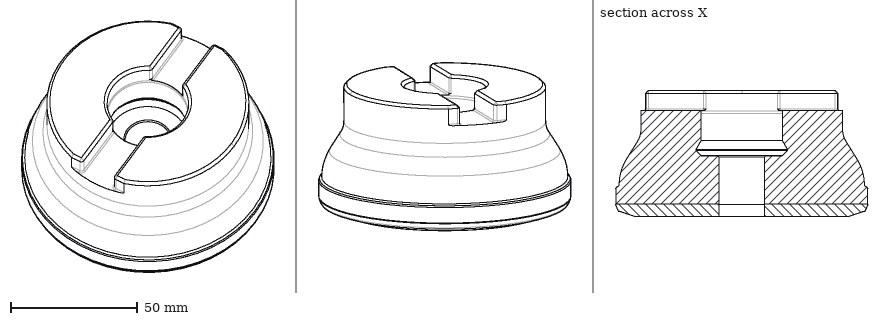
import cadquery as cq
import math

TOTAL_HEIGHT = 50.0
RIM_RADIUS = 99.99 / 2
SPLIT_HEIGHT = 4.8

SHOULDER_RADIUS = 97.5 / 2
NECK_RADIUS = 80.0 / 2
SHOULDER_HEIGHT = 12.3
FLANK_ANGLE = math.radians(32)
SHOULDER_ARC_RADIUS = 20.0
NECK_ARC_RADIUS = 10.0

LEDGE_BEVEL_HEIGHT = 0.6
STEEP_BEVEL_WIDTH = 0.35

BORE_RADIUS = 32.01 / 2
MOUTH_RADIUS = 32.2 / 2
MOUTH_DEPTH = 8.3
MOUTH_TAPER_HEIGHT = 1.0
GROOVE_RADIUS = 18.0
GROOVE_TOP = 30.1
GROOVE_UPPER_ANGLE = math.radians(30)
GROOVE_WALL_HEIGHT = 0.5

HOLE_RADIUS = 18.0 / 2
HOLE_CHAMFER = 0.5

SLOT_HALF_WIDTH = 7.15
SLOT_DEPTH = 8.0
SLOT_END_Y = 38.1
SLOT_CORNER_RADIUS = 1.2
SLOT_FOOT_FILLET = 0.6
TOP_CHAMFER = 1.19
END_CLEARANCE = 5.0

DISC_LAND_HEIGHT = 0.3
DISC_CORNER_TOP = (49.3, 2.7)
DISC_CORNER_FOOT = (48.9, 2.1)
DISC_FACE_RADIUS = 42.6

SLOT_FLOOR = TOTAL_HEIGHT - SLOT_DEPTH


def revolve(outline):
    """Turn a closed radius-height outline about the Z axis."""
    return outline.close().revolve(360, (0, 0, 0), (0, 1, 0))


def arc_point(centre, radius, angle):
    return (centre[0] + radius * math.cos(angle), centre[1] + radius * math.sin(angle))


def turned_body():
    """Body of revolution, before the slot is cut."""
    shoulder_centre = (SHOULDER_RADIUS - SHOULDER_ARC_RADIUS, SHOULDER_HEIGHT)
    shoulder_middle = arc_point(shoulder_centre, SHOULDER_ARC_RADIUS, FLANK_ANGLE / 2)
    flank_foot = arc_point(shoulder_centre, SHOULDER_ARC_RADIUS, FLANK_ANGLE)
    flank_top_radius = NECK_RADIUS + NECK_ARC_RADIUS * (1 - math.cos(FLANK_ANGLE))
    flank_height = (flank_foot[0] - flank_top_radius) / math.tan(FLANK_ANGLE)
    flank_top_height = flank_foot[1] + flank_height
    neck_foot = flank_top_height + NECK_ARC_RADIUS * math.sin(FLANK_ANGLE)
    neck_centre = (NECK_RADIUS + NECK_ARC_RADIUS, neck_foot)
    neck_middle = arc_point(neck_centre, NECK_ARC_RADIUS, math.pi + FLANK_ANGLE / 2)

    mouth_bottom = TOTAL_HEIGHT - MOUTH_DEPTH
    groove_depth = GROOVE_RADIUS - BORE_RADIUS
    groove_wall_top = GROOVE_TOP - groove_depth / math.tan(GROOVE_UPPER_ANGLE)
    groove_wall_foot = groove_wall_top - GROOVE_WALL_HEIGHT
    bore_floor = groove_wall_foot - groove_depth

    outline = (
        cq.Workplane("XZ")
        .moveTo(HOLE_RADIUS, SPLIT_HEIGHT)
        .lineTo(RIM_RADIUS, SPLIT_HEIGHT)
        .lineTo(RIM_RADIUS, SHOULDER_HEIGHT - 2 * LEDGE_BEVEL_HEIGHT)
        .lineTo(RIM_RADIUS - STEEP_BEVEL_WIDTH, SHOULDER_HEIGHT - LEDGE_BEVEL_HEIGHT)
        .lineTo(SHOULDER_RADIUS, SHOULDER_HEIGHT)
        .threePointArc(shoulder_middle, flank_foot)
        .lineTo(flank_top_radius, flank_top_height)
        .threePointArc(neck_middle, (NECK_RADIUS, neck_foot))
        .lineTo(NECK_RADIUS, TOTAL_HEIGHT)
        .lineTo(MOUTH_RADIUS, TOTAL_HEIGHT)
        .lineTo(MOUTH_RADIUS, mouth_bottom)
        .lineTo(BORE_RADIUS, mouth_bottom - MOUTH_TAPER_HEIGHT)
        .lineTo(BORE_RADIUS, GROOVE_TOP)
        .lineTo(GROOVE_RADIUS, groove_wall_top)
        .lineTo(GROOVE_RADIUS, groove_wall_foot)
        .lineTo(BORE_RADIUS, bore_floor)
        .lineTo(HOLE_RADIUS + HOLE_CHAMFER, bore_floor)
        .lineTo(HOLE_RADIUS, bore_floor - HOLE_CHAMFER)
    )
    return revolve(outline)


def cut_slot_walls(body):
    """Cut the slot down to the foot fillets and round the corners where it meets the bore."""
    walls = (
        cq.Workplane("XY", origin=(0, 0, SLOT_FLOOR + SLOT_FOOT_FILLET))
        .rect(2 * SLOT_HALF_WIDTH, 2 * NECK_RADIUS)
        .extrude(SLOT_DEPTH)
    )
    bore_corners = cq.selectors.BoxSelector(
        (-MOUTH_RADIUS / 2, -MOUTH_RADIUS, SLOT_FLOOR),
        (MOUTH_RADIUS / 2, MOUTH_RADIUS, TOTAL_HEIGHT),
    )
    return body.cut(walls).edges("|Z").edges(bore_corners).fillet(SLOT_CORNER_RADIUS)


def slot_cutter():
    """Full-depth slot that opens past the end flats, with rounded corners and foot fillets."""
    half_width = SLOT_HALF_WIDTH
    end_y = SLOT_END_Y
    far = NECK_RADIUS + END_CLEARANCE
    outline = (
        cq.Workplane("XY", origin=(0, 0, SLOT_FLOOR))
        .moveTo(half_width, -end_y)
        .lineTo(far, -end_y)
        .lineTo(far, -far)
        .lineTo(-far, -far)
        .lineTo(-far, -end_y)
        .lineTo(-half_width, -end_y)
        .lineTo(-half_width, end_y)
        .lineTo(-far, end_y)
        .lineTo(-far, far)
        .lineTo(far, far)
        .lineTo(far, end_y)
        .lineTo(half_width, end_y)
        .close()
    )
    wall_ends = cq.selectors.BoxSelector(
        (-2 * half_width, -NECK_RADIUS, SLOT_FLOOR),
        (2 * half_width, NECK_RADIUS, TOTAL_HEIGHT),
    )
    cutter = outline.extrude(SLOT_DEPTH).edges("|Z").edges(wall_ends).fillet(SLOT_CORNER_RADIUS)
    return cutter.faces("<Z").edges().fillet(SLOT_FOOT_FILLET)


def cutter_body():
    body = cut_slot_walls(turned_body()).cut(slot_cutter())
    return body.faces(">Z").edges().chamfer(TOP_CHAMFER)


def cutting_disc():
    """Disc under the body, with a tapered side and a conical face."""
    outline = (
        cq.Workplane("XZ")
        .moveTo(HOLE_RADIUS, 0)
        .lineTo(DISC_FACE_RADIUS, 0)
        .lineTo(*DISC_CORNER_FOOT)
        .lineTo(*DISC_CORNER_TOP)
        .lineTo(RIM_RADIUS, SPLIT_HEIGHT - DISC_LAND_HEIGHT)
        .lineTo(RIM_RADIUS, SPLIT_HEIGHT)
        .lineTo(HOLE_RADIUS, SPLIT_HEIGHT)
    )
    return revolve(outline)


body = cutter_body()
disc = cutting_disc()

result = cq.Compound.makeCompound([body.solids().val(), disc.solids().val()])